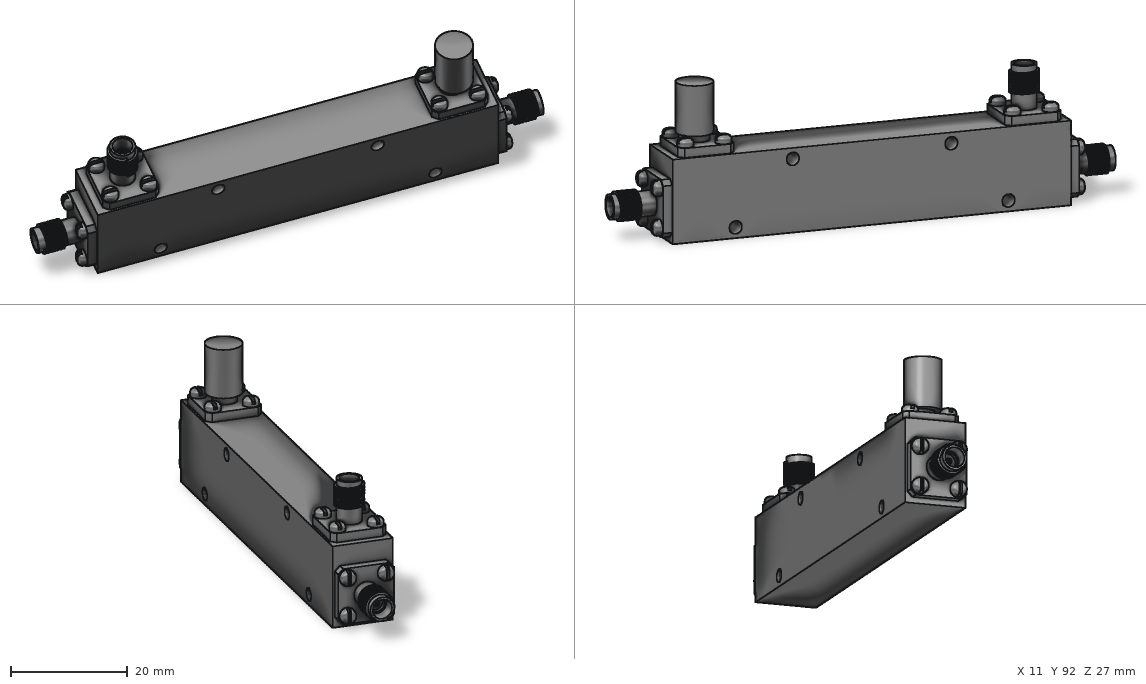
import cadquery as cq

overall_length = 92

body_width = 11
body_length = 73.05
body_height = 15.0

mount_hole_diameter = 2.3
mount_hole_edge_gap = 1.9
upper_hole_y = 14.5
lower_hole_y = 25.0

flange_size = 10.2
flange_thickness = 1.7
flange_corner_bevel = 0.9

screw_offset = 3.5
screw_diameter = 2.85
screw_head_height = 1.4
screw_head_round = 0.8
screw_slot_width = 0.55
screw_slot_depth = 0.8

connector_length = (overall_length - body_length) / 2
barrel_diameter = 4.4
thread_diameter = 5.2
thread_crest_width = 0.2
thread_root_width = 0.5
thread_pitch = 0.57
thread_turns = 7
thread_start = 4.4
thread_root_overlap = 0.1

socket_diameter = 2.9
socket_depth = 3.7
mouth_diameter = 3.5
mouth_depth = 2.8
contact_diameter = 1.0
contact_hole_diameter = 0.55

end_port_height = 6.2
top_port_y = 30.0

cap_diameter = 6.5
cap_y = 30.45
cap_top = 27.0
cap_bottom = body_height + flange_thickness + screw_head_height


def cylinder(diameter, bottom, top):
    return cq.Workplane("XY").workplane(offset=bottom).circle(diameter / 2).extrude(top - bottom)


def make_body():
    body = cq.Workplane("XY").box(body_width, body_length, body_height, centered=(True, True, False))
    upper_z = body_height - mount_hole_edge_gap
    hole_centres = []
    for side in (-1, 1):
        hole_centres.append((side * upper_hole_y, upper_z))
        hole_centres.append((side * lower_hole_y, mount_hole_edge_gap))
    holes = (
        cq.Workplane("YZ")
        .pushPoints(hole_centres)
        .circle(mount_hole_diameter / 2)
        .extrude(body_width / 2, both=True)
    )
    return body.cut(holes)


def make_screw_head():
    head = cylinder(screw_diameter, 0, screw_head_height).faces(">Z").edges().fillet(screw_head_round)
    slot = (
        cq.Workplane("XY")
        .workplane(offset=screw_head_height - screw_slot_depth)
        .rect(screw_slot_width, screw_diameter)
        .extrude(screw_slot_depth)
    )
    return head.cut(slot)


def make_flange():
    """Flange lying on Z = 0 with a screw head at each corner."""
    flange = (
        cq.Workplane("XY")
        .box(flange_size, flange_size, flange_thickness, centered=(True, True, False))
        .edges("|Z")
        .chamfer(flange_corner_bevel)
    )
    head = make_screw_head()
    for x in (-screw_offset, screw_offset):
        for y in (-screw_offset, screw_offset):
            flange = flange.union(head.translate((x, y, flange_thickness)))
    return flange


def make_thread():
    """Helical ridge of trapezoid section around Z, rooted slightly inside the barrel."""
    root_radius = barrel_diameter / 2 - thread_root_overlap
    helix = cq.Wire.makeHelix(thread_pitch, thread_turns * thread_pitch, root_radius)
    ridge = (
        cq.Workplane("XZ")
        .moveTo(root_radius, -thread_root_width / 2)
        .lineTo(thread_diameter / 2, -thread_crest_width / 2)
        .lineTo(thread_diameter / 2, thread_crest_width / 2)
        .lineTo(root_radius, thread_root_width / 2)
        .close()
        .sweep(cq.Workplane(obj=helix), isFrenet=True)
    )
    return ridge.translate((0, 0, thread_start))


def make_socket():
    """Stepped bore to remove from the barrel, leaving the hollow contact standing on its floor."""
    floor = connector_length - socket_depth
    step = connector_length - mouth_depth
    mouth = cylinder(mouth_diameter, step, connector_length)
    contact = cylinder(contact_diameter, floor, step)
    contact = contact.cut(cylinder(contact_hole_diameter, floor, step))
    return cylinder(socket_diameter, floor, step).cut(contact).union(mouth)


def make_connector():
    """Complete connector pointing along +Z from its mounting face at Z = 0."""
    barrel = cylinder(barrel_diameter, 0, connector_length).union(make_thread()).cut(make_socket())
    return make_flange().union(barrel)


def make_capped_port():
    """Flange with a short plain barrel, covered by a slightly offset solid cap."""
    neck = cylinder(barrel_diameter, 0, cap_bottom - body_height)
    port = make_flange().union(neck).translate((0, top_port_y, body_height))
    cap = cylinder(cap_diameter, cap_bottom, cap_top).translate((0, cap_y, 0))
    return port.union(cap)


connector = make_connector()
front_connector = connector.rotate((0, 0, 0), (1, 0, 0), 90)
rear_connector = connector.rotate((0, 0, 0), (1, 0, 0), -90)

result = (
    make_body()
    .union(front_connector.translate((0, -body_length / 2, end_port_height)))
    .union(rear_connector.translate((0, body_length / 2, end_port_height)))
    .union(connector.translate((0, -top_port_y, body_height)))
    .union(make_capped_port())
)